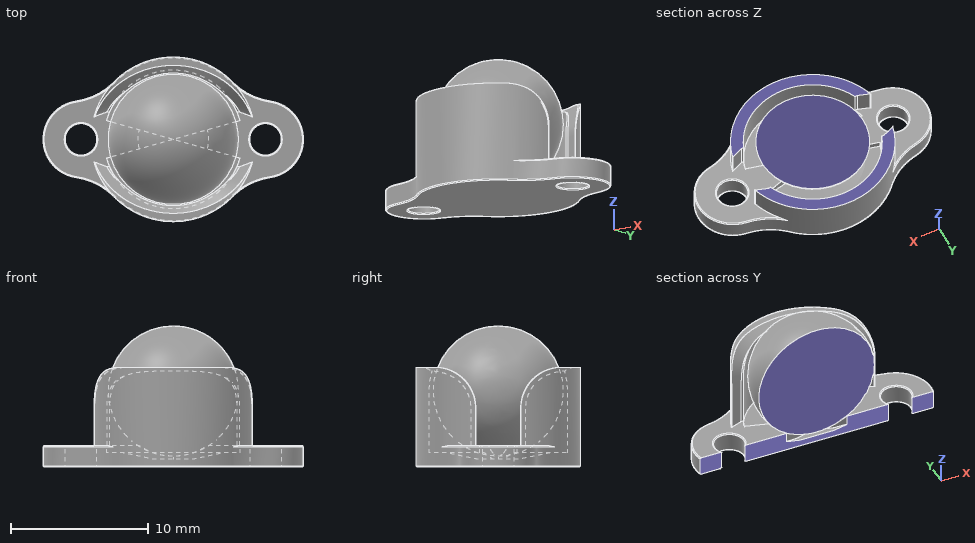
import cadquery as cq
import math

overall_length = 18.96
overall_height = 10.25
ball_radius = 4.74
housing_radius = 12.0 / 2
wall_top = 7.25
plate_thickness = 1.54
lobe_radius = 5.63 / 2
blend_radius = 4.93
ear_overlap = 0.005
hole_diameter = 2.3
hole_center = 6.71
edge_chamfer = 0.08

window_half_width = 1.63
window_round = 2.95

bevel_outer_x = 6.01
bevel_outer_y = 5.38
bevel_width = 0.75
bevel_depth = 0.36

socket_radius = 5.05
recess_depth = 0.5
dish_top_radius = 3.85
dish_bottom_radius = 1.52
dish_depth = 0.47
pad_half_angle = 15.7

ball_height = overall_height - ball_radius
lobe_center = overall_length / 2 - lobe_radius
recess_floor = plate_thickness - recess_depth
past_wall = 2 * housing_radius


def on_line(start, end, distance):
    """Point at a given distance from start on the way to end."""
    part = distance / math.dist(start, end)
    return (start[0] + part * (end[0] - start[0]), start[1] + part * (end[1] - start[1]))


def make_ear():
    """Mounting ear on the +X side, blended by concave arcs that just dip into the drum."""
    to_blend = housing_radius - ear_overlap + blend_radius
    ear_to_blend = lobe_radius + blend_radius
    blend_x = (to_blend**2 - ear_to_blend**2 + lobe_center**2) / (2 * lobe_center)
    blend_y = math.sqrt(to_blend**2 - blend_x**2)
    blend = (blend_x, blend_y)
    lobe = (lobe_center, 0)
    base_x, base_y = on_line((0, 0), blend, housing_radius - ear_overlap)
    ear_x, ear_y = on_line(lobe, blend, lobe_radius)
    middle = ((base_x + ear_x) / 2, (base_y + ear_y) / 2)
    mid_x, mid_y = on_line(blend, middle, blend_radius)
    outline = (
        cq.Workplane("XY")
        .moveTo(base_x, base_y)
        .threePointArc((mid_x, mid_y), (ear_x, ear_y))
        .threePointArc((overall_length / 2, 0), (ear_x, -ear_y))
        .threePointArc((mid_x, -mid_y), (base_x, -base_y))
        .close()
    )
    return outline.extrude(plate_thickness).faces("<Z or >Z").chamfer(edge_chamfer)


def window_tunnel(offset):
    """Passage along X: a slot that flares out to the wall top, grown by an offset."""
    half_width = window_half_width + offset
    radius = window_round - offset
    shoulder = wall_top - offset
    flare = half_width + radius
    bend = radius * (1 - math.sqrt(0.5))
    ceiling = wall_top + window_round
    return (
        cq.Workplane("YZ")
        .moveTo(-half_width, plate_thickness)
        .lineTo(half_width, plate_thickness)
        .lineTo(half_width, shoulder - radius)
        .threePointArc((half_width + bend, shoulder - bend), (flare, shoulder))
        .lineTo(past_wall, shoulder)
        .lineTo(past_wall, ceiling)
        .lineTo(-past_wall, ceiling)
        .lineTo(-past_wall, shoulder)
        .lineTo(-flare, shoulder)
        .threePointArc((-half_width - bend, shoulder - bend), (-half_width, shoulder - radius))
        .close()
        .extrude(past_wall, both=True)
    )


def make_bevel_cutter():
    """Elliptical core above the window outline; its chamfered edge shapes the bevel."""
    core = (
        cq.Workplane("XY")
        .workplane(offset=plate_thickness)
        .ellipse(bevel_outer_x, bevel_outer_y)
        .extrude(past_wall)
        .intersect(window_tunnel(bevel_depth))
    )
    rim_edges = core.edges("not(<Z or >Z or |X or |Z)")
    return rim_edges.chamfer(bevel_depth, bevel_width)


def make_socket():
    """Straight bore that closes over the ball as a sphere above its equator."""
    bore = (
        cq.Workplane("XY")
        .workplane(offset=plate_thickness)
        .circle(socket_radius)
        .extrude(ball_height - plate_thickness)
    )
    dome = cq.Workplane("XY").sphere(socket_radius).translate((0, 0, ball_height))
    upper_half = (
        cq.Workplane("XY").workplane(offset=ball_height).circle(past_wall).extrude(past_wall)
    )
    return bore.union(dome.intersect(upper_half))


def make_floor_recess():
    """Sunken floor with a conical dish, interrupted by a raised pad at each window."""
    recess = (
        cq.Workplane("XZ")
        .moveTo(0, plate_thickness)
        .lineTo(socket_radius, plate_thickness)
        .lineTo(socket_radius, recess_floor)
        .lineTo(dish_top_radius, recess_floor)
        .lineTo(dish_bottom_radius, recess_floor - dish_depth)
        .lineTo(0, recess_floor - dish_depth)
        .close()
        .revolve(360, (0, 0, 0), (0, 1, 0))
    )
    pad_y = past_wall * math.tan(math.radians(pad_half_angle))
    for side in (-1, 1):
        pad = (
            cq.Workplane("XY")
            .polyline([(0, 0), (side * past_wall, -pad_y), (side * past_wall, pad_y)])
            .close()
            .extrude(plate_thickness)
        )
        recess = recess.cut(pad)
    return recess


def make_ball():
    return cq.Workplane("XY").sphere(ball_radius).translate((0, 0, ball_height))


def make_screw_hole():
    """Through hole on the +X side, with a small chamfer at the top and bottom."""
    radius = hole_diameter / 2
    mouth = radius + edge_chamfer
    return (
        cq.Workplane("XZ")
        .polyline([
            (0, 0),
            (mouth, 0),
            (radius, edge_chamfer),
            (radius, plate_thickness - edge_chamfer),
            (mouth, plate_thickness),
            (0, plate_thickness),
        ])
        .close()
        .revolve(360, (0, 0, 0), (0, 1, 0))
        .translate((hole_center, 0, 0))
    )


def make_housing():
    body = (
        cq.Workplane("XY")
        .circle(housing_radius)
        .extrude(wall_top)
        .faces("<Z")
        .chamfer(edge_chamfer)
        .cut(window_tunnel(0))
        .cut(make_socket())
        .cut(make_bevel_cutter())
    )
    for angle in (0, 180):
        body = body.union(make_ear().rotate((0, 0, 0), (0, 0, 1), angle))
    for angle in (0, 180):
        body = body.cut(make_screw_hole().rotate((0, 0, 0), (0, 0, 1), angle))
    return body.cut(make_floor_recess()).cut(make_ball())


housing = make_housing()
ball = make_ball()

result = cq.Compound.makeCompound([housing.val(), ball.val()])